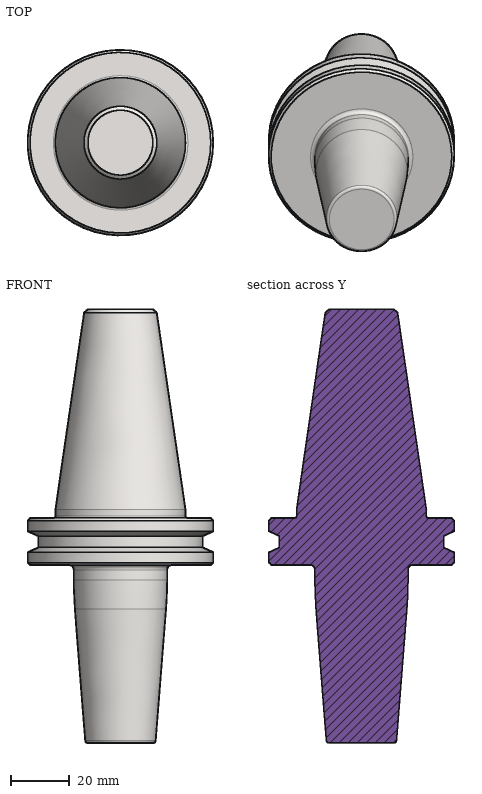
import cadquery as cq
import math

total_length = 148.2
gauge_height = 79.9
flange_top = 77.0
flange_bottom = 60.8

gauge_radius = 22.2
taper_slope = 7 / 48
taper_length = total_length - gauge_height
taper_tip_radius = gauge_radius - taper_length * taper_slope
tip_chamfer = 1.2
collar_fillet = 0.7

flange_radius = 31.7
rim_chamfer = 0.9
groove_center = 68.8
groove_floor_radius = 28.2
groove_floor_width = 3.9
groove_mouth_width = 7.1

neck_radius = 16.0
neck_fillet = 1.5
nose_tip_radius = 12.0
nose_angle = math.radians(4.5)
blend_radius = 128.2
nose_fillet = 1.0


def make_shank():
    """Taper with a short cylindrical collar running down to the flange."""
    profile = (
        cq.Workplane("XZ")
        .moveTo(0, flange_top)
        .lineTo(gauge_radius, flange_top)
        .lineTo(gauge_radius, gauge_height)
        .lineTo(taper_tip_radius, total_length)
        .lineTo(0, total_length)
        .close()
    )
    shank = profile.revolve(360, (0, 0, 0), (0, 1, 0))
    return shank.faces(">Z").edges().chamfer(tip_chamfer)


def make_flange():
    """Chamfered disc with the groove cut around its rim."""
    height = flange_top - flange_bottom
    disc = cq.Workplane("XY", origin=(0, 0, flange_bottom)).circle(flange_radius).extrude(height)
    disc = disc.faces("<Z or >Z").edges().chamfer(rim_chamfer)
    groove = (
        cq.Workplane("XZ")
        .moveTo(groove_floor_radius, groove_center - groove_floor_width / 2)
        .lineTo(flange_radius, groove_center - groove_mouth_width / 2)
        .lineTo(flange_radius, groove_center + groove_mouth_width / 2)
        .lineTo(groove_floor_radius, groove_center + groove_floor_width / 2)
        .close()
        .revolve(360, (0, 0, 0), (0, 1, 0))
    )
    return disc.cut(groove)


def make_nose():
    """Slender nose below the flange, rounded at its lower edge."""
    corner_height = (neck_radius - nose_tip_radius) / math.tan(nose_angle)
    blend_start = corner_height + blend_radius * math.tan(nose_angle / 2)
    blend_center = neck_radius - blend_radius

    def blend_point(angle):
        return (
            blend_center + blend_radius * math.cos(angle),
            blend_start - blend_radius * math.sin(angle),
        )

    profile = (
        cq.Workplane("XZ")
        .lineTo(nose_tip_radius, 0)
        .lineTo(*blend_point(nose_angle))
        .threePointArc(blend_point(nose_angle / 2), blend_point(0))
        .lineTo(neck_radius, flange_bottom)
        .lineTo(0, flange_bottom)
        .close()
    )
    nose = profile.revolve(360, (0, 0, 0), (0, 1, 0))
    return nose.faces("<Z").edges().fillet(nose_fillet)


def make_root_fillet(radius, face_height, direction, size):
    """Ring that rounds the corner between a cylinder and a flange face."""
    bulge = size * (1 - math.sqrt(0.5))
    return (
        cq.Workplane("XZ")
        .moveTo(radius, face_height)
        .lineTo(radius + size, face_height)
        .threePointArc(
            (radius + bulge, face_height + direction * bulge),
            (radius, face_height + direction * size),
        )
        .close()
        .revolve(360, (0, 0, 0), (0, 1, 0))
    )


result = (
    make_flange()
    .union(make_shank())
    .union(make_nose())
    .union(make_root_fillet(gauge_radius, flange_top, 1, collar_fillet))
    .union(make_root_fillet(neck_radius, flange_bottom, -1, neck_fillet))
)